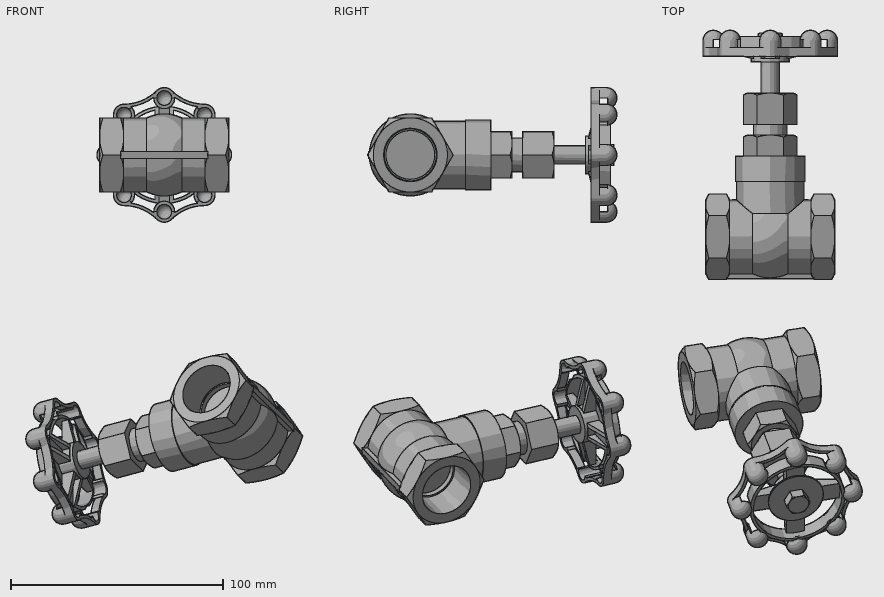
import cadquery as cq
import math


body_length = 61.0
pipe_radius = 35.0 / 2
end_hex_flats = 35.0
end_hex_length = 11.4
hex_chamfer_angle = 30.0
bulge_half_length = 8.4
bulge_radius = math.hypot(pipe_radius, bulge_half_length)
seam_rib_length = 41.5
seam_rib_width = 3.3
seam_rib_reach = 19.85

mouth_radius = 25.2 / 2
thread_end_radius = 24.5 / 2
thread_depth = 17.0
port_radius = 23.0 / 2
port_depth = 20.0

neck_radius = 32.0 / 2
collar_bottom = 26.0
collar_radius = 33.0 / 2
bonnet_hex_bottom = 38.0
bonnet_hex_top = 48.0
bonnet_hex_flats = 22.0
gland_neck_radius = 16.0 / 2
gland_hex_bottom = 52.9
gland_hex_top = 67.8
stem_radius = 8.8 / 2

hub_bottom = 82.55
hub_radius = 18.0 / 2
rim_bottom = 85.1
rim_height = 4.2
web_floor = 88.1
spoke_top = 90.5
ring_top = 94.5
knob_equator = 92.46
knob_cut_top = 93.05
wheel_nut_top = 96.15

knob_count = 8
knob_radius = 5.0
wall = 1.5
knob_circle_radius = 63.6 / 2 - knob_radius
valley_depth_radius = 27.75
ring_inner_radius = 43.0 / 2
ring_outer_radius = ring_inner_radius + wall
spoke_count = 4
spoke_width = 8.8
channel_width = 4.85
channel_root_radius = 8.7
underside_at_hub = 84.1
underside_slope = 0.25
plate_radius = 13.3
plate_thickness = 0.8
wheel_nut_flats = 10.0
seam_turn = 40.0
clearance = 1.0


def stem_cylinder(radius, bottom, top):
    """Cylinder on the stem axis between two levels."""
    return cq.Workplane("XZ", origin=(0, bottom, 0)).circle(radius).extrude(bottom - top)


def across_corners(flats):
    return flats / math.cos(math.pi / 6)


def chamfered_hex(flats, length, both_ends):
    """Hexagon along +Z, its corners coned off at the top and, if asked, at the bottom too."""
    flat_radius = flats / 2
    corner_radius = across_corners(flats) / 2
    drop = (corner_radius - flat_radius) * math.tan(math.radians(hex_chamfer_angle))
    envelope = cq.Workplane("XZ").moveTo(0, 0)
    if both_ends:
        envelope = envelope.lineTo(flat_radius, 0).lineTo(corner_radius, drop)
    else:
        envelope = envelope.lineTo(corner_radius, 0)
    envelope = (
        envelope.lineTo(corner_radius, length - drop)
        .lineTo(flat_radius, length)
        .lineTo(0, length)
        .close()
        .revolve(360, (0, 0, 0), (0, 1, 0))
    )
    prism = cq.Workplane("XY").polygon(6, across_corners(flats)).extrude(length)
    return prism.intersect(envelope)


def stem_hex(flats, bottom, top):
    """Hexagon on the stem axis, chamfered at its upper end, with corners on the X axis."""
    nut = chamfered_hex(flats, top - bottom, both_ends=False)
    return nut.rotate((0, 0, 0), (1, 0, 0), -90).translate((0, bottom, 0))


def pipe_body():
    half = body_length / 2
    pipe = (
        cq.Workplane("XY")
        .moveTo(-half, 0)
        .lineTo(-half, pipe_radius)
        .lineTo(-bulge_half_length, pipe_radius)
        .threePointArc((0, bulge_radius), (bulge_half_length, pipe_radius))
        .lineTo(half, pipe_radius)
        .lineTo(half, 0)
        .close()
        .revolve(360, (0, 0, 0), (1, 0, 0))
    )
    end_hex = chamfered_hex(end_hex_flats, end_hex_length, both_ends=True)
    end_hex = end_hex.rotate((0, 0, 0), (0, 0, 1), 90).rotate((0, 0, 0), (0, 1, 0), 90)
    for start in (-half, half - end_hex_length):
        pipe = pipe.union(end_hex.translate((start, 0, 0)))
    rib = (
        cq.Workplane("XY")
        .box(seam_rib_length, seam_rib_reach, seam_rib_width)
        .translate((0, -seam_rib_reach / 2, 0))
    )
    return pipe.union(rib)


def pipe_bores():
    """Tapered thread and blind port of both ends."""
    mouth = -body_length / 2
    bore = (
        cq.Workplane("XY")
        .moveTo(mouth, 0)
        .lineTo(mouth, mouth_radius)
        .lineTo(mouth + thread_depth, thread_end_radius)
        .lineTo(mouth + thread_depth, port_radius)
        .lineTo(mouth + port_depth, port_radius)
        .lineTo(mouth + port_depth, 0)
        .close()
        .revolve(360, (0, 0, 0), (1, 0, 0))
    )
    return bore.union(bore.mirror("YZ"))


def bonnet_and_stem():
    return (
        stem_cylinder(neck_radius, 0, collar_bottom)
        .union(stem_cylinder(collar_radius, collar_bottom, bonnet_hex_bottom))
        .union(stem_hex(bonnet_hex_flats, bonnet_hex_bottom, bonnet_hex_top))
        .union(stem_cylinder(gland_neck_radius, bonnet_hex_top, gland_hex_bottom))
        .union(stem_hex(bonnet_hex_flats, gland_hex_bottom, gland_hex_top))
        .union(stem_cylinder(stem_radius, gland_hex_top, hub_bottom))
    )


def polar(radius, angle):
    return (radius * math.cos(angle), radius * math.sin(angle))


def rim_outline(inset):
    """Wavy closed loop: an arc round each knob, joined by tangent arcs that curve inwards."""
    half_pitch = math.pi / knob_count
    along = knob_circle_radius * math.cos(half_pitch)
    across = knob_circle_radius * math.sin(half_pitch)
    gap = valley_depth_radius - knob_radius
    valley_centre_radius = (across**2 + along**2 - gap**2) / (2 * (along - gap))
    valley_radius = valley_centre_radius - valley_depth_radius
    share = knob_radius / (knob_radius + valley_radius)
    touch_along = along + share * (valley_centre_radius - along)
    touch_across = across * (1 - share)
    keep = (knob_radius - inset) / knob_radius
    touch_along = along + keep * (touch_along - along)
    touch_across = across + keep * (touch_across - across)
    touch_radius = math.hypot(touch_along, touch_across)
    touch_angle = half_pitch - math.atan2(touch_across, touch_along)

    loop = cq.Workplane("XZ", origin=(0, rim_bottom, 0)).moveTo(*polar(touch_radius, -touch_angle))
    for index in range(knob_count):
        knob_angle = 2 * half_pitch * index
        loop = loop.threePointArc(
            polar(knob_circle_radius + knob_radius - inset, knob_angle),
            polar(touch_radius, knob_angle + touch_angle),
        )
        loop = loop.threePointArc(
            polar(valley_depth_radius - inset, knob_angle + half_pitch),
            polar(touch_radius, knob_angle + 2 * half_pitch - touch_angle),
        )
    return loop.close()


def rim():
    return rim_outline(0).extrude(-rim_height).cut(rim_outline(wall).extrude(-rim_height))


def underside_level(radius):
    """Level of the conical wheel underside at a given distance from the stem."""
    return underside_at_hub + underside_slope * (radius - hub_radius)


def turned_clear(shape):
    """The same round shape with its seam away from the spokes."""
    return shape.rotate((0, 0, 0), (0, 1, 0), seam_turn)


def conical_envelope():
    """Turned body that trims the ring and spokes to the conical underside."""
    outer_radius = ring_outer_radius + clearance
    envelope = (
        cq.Workplane("XY")
        .moveTo(0, underside_level(0))
        .lineTo(outer_radius, underside_level(outer_radius))
        .lineTo(outer_radius, ring_top + clearance)
        .lineTo(0, ring_top + clearance)
        .close()
        .revolve(360, (0, 0, 0), (0, 1, 0))
    )
    return turned_clear(envelope)


def radial_bar(width, length, bottom, top):
    """Block along +X from the stem axis, between two levels."""
    bar = cq.Workplane("XY").box(length, top - bottom, width, centered=(False, False, True))
    return bar.translate((0, bottom, 0))


def around_stem(shape, count):
    """Copies of a shape at equal angles round the stem."""
    return [shape.rotate((0, 0, 0), (0, 1, 0), 360 / count * index) for index in range(count)]


def spoke():
    middle_of_ring = ring_inner_radius + wall / 2
    return radial_bar(spoke_width, middle_of_ring, hub_bottom, spoke_top)


def spoke_channel():
    """Cutter for the groove along the underside of a spoke, from the hub out past the ring."""
    bar = radial_bar(channel_width, ring_outer_radius + clearance, underside_at_hub, web_floor)
    root = stem_cylinder(channel_root_radius, hub_bottom, spoke_top)
    return bar.cut(turned_clear(root))


def spoked_ring():
    plate_top = spoke_top + plate_thickness
    web = stem_cylinder(ring_outer_radius, hub_bottom, ring_top)
    web = turned_clear(web.cut(stem_cylinder(ring_inner_radius, hub_bottom, ring_top)))
    for copy in around_stem(spoke(), spoke_count):
        web = web.union(copy)
    web = web.intersect(conical_envelope())
    web = web.union(stem_cylinder(plate_radius, spoke_top, plate_top))
    web = web.union(turned_clear(stem_cylinder(hub_radius, hub_bottom, plate_top)))
    for copy in around_stem(spoke_channel(), spoke_count):
        web = web.cut(copy)
    return web.union(stem_hex(wheel_nut_flats, plate_top, wheel_nut_top))


def knob_post(radius, top):
    """Round post on the first knob axis, from the rim underside to a level."""
    return stem_cylinder(radius, rim_bottom, top).translate((knob_circle_radius, 0, 0))


def domed_post(radius):
    """Post with a hemispherical end, centred on the first knob axis."""
    diagonal = radius * math.sqrt(0.5)
    post = (
        cq.Workplane("XY")
        .moveTo(0, rim_bottom)
        .lineTo(radius, rim_bottom)
        .lineTo(radius, knob_equator)
        .threePointArc((diagonal, knob_equator + diagonal), (0, knob_equator + radius))
        .close()
        .revolve(360, (0, 0, 0), (0, 1, 0))
    )
    return turned_clear(post).translate((knob_circle_radius, 0, 0))


def knob():
    """Hollow domed knob whose side toward the stem is open below the dome."""
    opening_size = 2 * (knob_radius + clearance)
    opening = (
        cq.Workplane("XY")
        .box(opening_size, knob_cut_top - rim_bottom, opening_size, centered=(False, False, True))
        .translate((knob_circle_radius - opening_size, rim_bottom, 0))
    )
    return domed_post(knob_radius).cut(opening)


def handwheel():
    wheel = spoked_ring()
    for copy in around_stem(knob_post(knob_radius, knob_cut_top), knob_count):
        wheel = wheel.cut(copy)
    wheel = wheel.union(rim())
    for copy in around_stem(knob(), knob_count):
        wheel = wheel.union(copy)
    for copy in around_stem(domed_post(knob_radius - wall), knob_count):
        wheel = wheel.cut(copy)
    return wheel


result = pipe_body().union(bonnet_and_stem()).cut(pipe_bores()).union(handwheel())